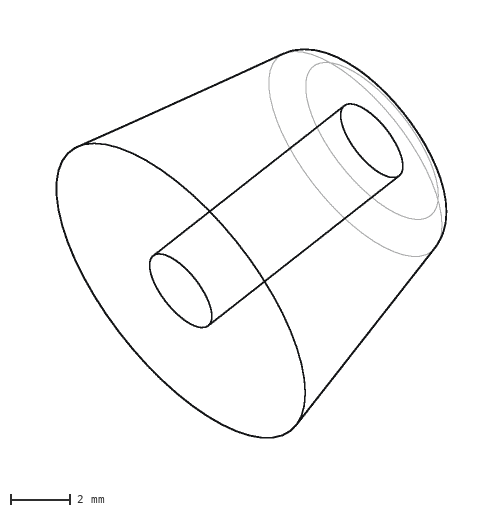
import cadquery as cq

base_diameter = 12.0
height = 9.0
tip_diameter = base_diameter * 2 / 3
hole_diameter = base_diameter / 4
tip_fillet = base_diameter / 12


def tapered_body():
    """Cone frustum narrowing toward +Y, with a rounded edge at the narrow end."""
    half_profile = (
        cq.Workplane("XY")
        .lineTo(base_diameter / 2, 0)
        .lineTo(tip_diameter / 2, height)
        .lineTo(0, height)
        .close()
    )
    frustum = half_profile.revolve(360, (0, 0, 0), (0, 1, 0))
    return frustum.faces(">Y").edges().fillet(tip_fillet)


def through_hole():
    """Cylinder along Y that spans the full height of the body."""
    return cq.Workplane("XZ").circle(hole_diameter / 2).extrude(-height)


result = tapered_body().cut(through_hole())